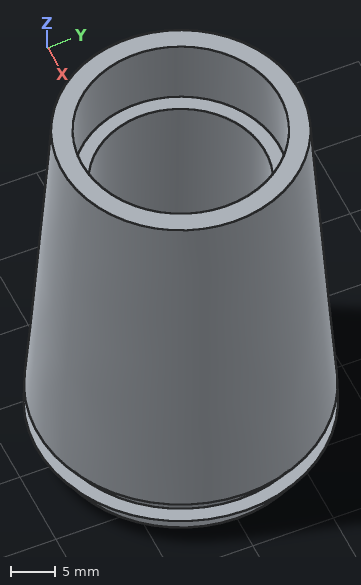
import cadquery as cq
import math

height = 52.0
flange_diameter = 35.7

body_top_diameter = 29.45
body_base_diameter = 35.55
body_base_z = 6.75

groove_diameter = 32.1
flange_top_z = 3.9
flange_angle = 30.0
flange_base_diameter = flange_diameter - 2 * flange_top_z * math.tan(math.radians(flange_angle))

bore_diameter = 20.95
counterbore_diameter = 24.55
counterbore_depth = 8.95


def make_sleeve():
    """Revolve the outer half profile, given as (radius, z), about the Z axis."""
    profile = [
        (0, 0),
        (flange_base_diameter / 2, 0),
        (flange_diameter / 2, flange_top_z),
        (groove_diameter / 2, flange_top_z),
        (groove_diameter / 2, body_base_z),
        (body_base_diameter / 2, body_base_z),
        (body_top_diameter / 2, height),
        (0, height),
    ]
    return cq.Workplane("XZ").polyline(profile).close().revolve(360, (0, 0, 0), (0, 1, 0))


def make_stepped_bore():
    """Through bore with a wider counterbore at the top."""
    bore = cq.Workplane("XY").circle(bore_diameter / 2).extrude(height)
    counterbore = (
        cq.Workplane("XY")
        .workplane(offset=height - counterbore_depth)
        .circle(counterbore_diameter / 2)
        .extrude(counterbore_depth)
    )
    return bore.union(counterbore)


result = make_sleeve().cut(make_stepped_bore())